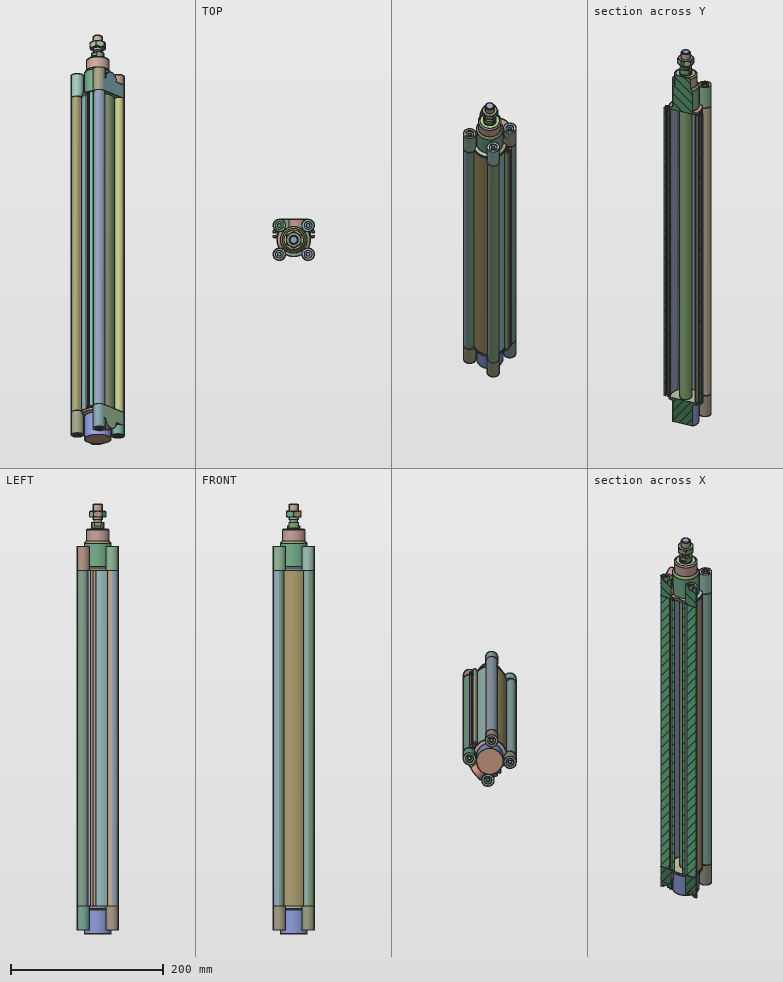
import cadquery as cq
import math


total_height = 564.0
rear_face_z = 5.0
tube_bottom_z = 36.5
tube_top_z = 476.5
front_face_z = tube_top_z + (tube_bottom_z - rear_face_z)

half_width = 54.0 / 2
column_offset = 38.0 / 2
column_radius = half_width - column_offset
column_centers = [(sx * column_offset, sy * column_offset) for sx in (-1, 1) for sy in (-1, 1)]

barrel_diameter = 43.5
bore_diameter = 40.0
column_inner_face = 13.0
column_side_radius = column_offset - column_inner_face

rail_center_y = 7.6
rail_width = 10.0
rail_rounding = 1.5
rail_foot_x = 21.0
slot_opening = 3.5
slot_channel = 5.5
slot_floor_x = 22.0
slot_lip = 3.0

collar_diameter = 35.0
flange_diameter = 44.0
flange_height = 3.5
ledge_height = 1.5
web_thickness = 2.0
screw_recess_diameter = 10.0
screw_recess_depth = 1.5
screw_socket_diameter = 5.0
screw_socket_depth = 5.5
port_radius = 10.5
port_center_x = 4.25
port_above_tube = 18.5
port_inner_y = column_offset - column_radius

nose_diameter = 30.0
nose_top_z = 531.5
nose_cone_bottom_z = 512.0
nose_cone_top_z = 515.5
nose_chamfer_height = 1.5
nose_chamfer_width = 2.0
wiper_diameter = 17.0
wiper_top_z = nose_top_z + 1.0

rod_diameter = 16.0
rod_flats = 13.0
flats_bottom_z = 534.5
shank_top_z = 540.0
neck_diameter = 10.0
thread_bottom_z = 543.0
thread_diameter = 12.0
thread_chamfer = 1.0

nut_flats = 19.0
nut_bottom_z = 546.5
nut_top_z = nut_bottom_z + 8.0
nut_corner_diameter = nut_flats / math.cos(math.pi / 6)


def cylinder(diameter, bottom, top, center=(0, 0)):
    return cq.Workplane("XY", origin=(*center, bottom)).circle(diameter / 2).extrude(top - bottom)


def box(x_range, y_range, z_range):
    sizes = [high - low for low, high in (x_range, y_range, z_range)]
    low_corner = (x_range[0], y_range[0], z_range[0])
    return cq.Workplane("XY").box(*sizes, centered=False).translate(low_corner)


def turned(solid, angle):
    return solid.rotate((0, 0, 0), (0, 0, 1), angle)



def tube_column():
    """Column in the +X +Y corner: one large outer arc between two smaller side arcs."""
    inner, middle, outer = column_inner_face, column_offset, half_width
    side_arc_center = outer - column_side_radius
    return (
        cq.Workplane("XY", origin=(0, 0, tube_bottom_z))
        .moveTo(inner, inner)
        .lineTo(side_arc_center, inner)
        .radiusArc((outer, middle), -column_side_radius)
        .radiusArc((middle, outer), -column_radius)
        .radiusArc((inner, side_arc_center), -column_side_radius)
        .close()
        .extrude(tube_top_z - tube_bottom_z)
    )


def sensor_rail():
    """Rail with rounded outer edges and a T-slot open toward +X."""
    tube_z = (tube_bottom_z, tube_top_z)

    def y_span(size):
        return (rail_center_y - size / 2, rail_center_y + size / 2)

    rail = box((rail_foot_x, half_width), y_span(rail_width), tube_z)
    rail = rail.edges("|Z and >X").fillet(rail_rounding)
    opening = box((slot_floor_x, half_width), y_span(slot_opening), tube_z)
    channel = box((slot_floor_x, half_width - slot_lip), y_span(slot_channel), tube_z)
    return rail.cut(opening).cut(channel)


def make_tube():
    tube = cylinder(barrel_diameter, tube_bottom_z, tube_top_z)
    for quarter in range(4):
        tube = tube.union(turned(tube_column(), 90 * quarter))
    rail = sensor_rail()
    tube = tube.union(rail).union(rail.mirror("YZ"))
    return tube.cut(cylinder(bore_diameter, tube_bottom_z, tube_top_z))



def cap_core():
    """Central collar cylinder on a flange with a conical ledge."""
    flange = cylinder(flange_diameter, tube_top_z, tube_top_z + flange_height + ledge_height)
    ledge_width = (flange_diameter - collar_diameter) / 2
    flange = flange.faces(">Z").chamfer(ledge_height, ledge_width)
    return flange.union(cylinder(collar_diameter, tube_top_z, front_face_z))


def add_columns(body):
    """Four screw columns, each tied to the core by a thin diagonal web."""
    web_reach = math.hypot(column_offset, column_offset)
    web = box((0, web_reach), (-web_thickness / 2, web_thickness / 2), (tube_top_z, front_face_z))
    for quarter in range(4):
        body = body.union(turned(web, 45 + 90 * quarter))
    for center in column_centers:
        body = body.union(cylinder(2 * column_radius, tube_top_z, front_face_z, center))
    return body


def add_port_block(body):
    """Air port block between the two +Y columns, topped by a half-round boss."""
    port_z = tube_top_z + port_above_tube
    block = box((-column_offset, column_offset), (port_inner_y, half_width), (tube_top_z, port_z))
    boss = (
        cq.Workplane("XZ", origin=(port_center_x, port_inner_y, port_z))
        .circle(port_radius)
        .extrude(port_inner_y - half_width)
    )
    return body.union(block).union(boss)


def cut_screw_recesses(body):
    recess_floor_z = front_face_z - screw_recess_depth
    socket_floor_z = recess_floor_z - screw_socket_depth
    for center in column_centers:
        body = body.cut(cylinder(screw_recess_diameter, recess_floor_z, front_face_z, center))
        body = body.cut(cylinder(screw_socket_diameter, socket_floor_z, recess_floor_z, center))
    return body


def cap_body():
    """Shape common to both caps, placed on the tube top."""
    return cut_screw_recesses(add_columns(add_port_block(cap_core())))


def make_front_cap():
    cone_height = nose_cone_top_z - nose_cone_bottom_z
    cone_width = (collar_diameter - nose_diameter) / 2
    collar = cylinder(collar_diameter, tube_top_z, nose_cone_top_z)
    collar = collar.faces(">Z").chamfer(cone_height, cone_width)
    nose = cylinder(nose_diameter, tube_top_z, nose_top_z)
    nose = nose.faces(">Z").chamfer(nose_chamfer_height, nose_chamfer_width)
    wiper = cylinder(wiper_diameter, tube_top_z, wiper_top_z)
    cap = cap_body().union(collar).union(nose).union(wiper)
    return cap.cut(cylinder(rod_diameter, tube_top_z, wiper_top_z))


def make_rear_cap():
    """The common cap shape mirrored to the tube bottom, with a plain collar below it."""
    tube_middle_z = (tube_bottom_z + tube_top_z) / 2
    body = cap_body().mirror("XY", (0, 0, tube_middle_z))
    return body.union(cylinder(collar_diameter, 0, tube_bottom_z))



def make_rod():
    shank = cylinder(rod_diameter, tube_bottom_z, flats_bottom_z)
    wrench_section = cylinder(rod_diameter, flats_bottom_z, shank_top_z).intersect(
        box((-rod_flats / 2, rod_flats / 2), (-rod_diameter, rod_diameter), (flats_bottom_z, shank_top_z))
    )
    neck = cylinder(neck_diameter, shank_top_z, thread_bottom_z)
    thread = cylinder(thread_diameter, thread_bottom_z, total_height)
    thread = thread.faces(">Z").chamfer(thread_chamfer)
    return shank.union(wrench_section).union(neck).union(thread)


def make_nut():
    """Hexagon with two flats facing X and chamfered corners, bored for the thread."""
    hexagon = (
        cq.Workplane("XY", origin=(0, 0, nut_bottom_z))
        .polygon(6, nut_corner_diameter)
        .extrude(nut_top_z - nut_bottom_z)
    )
    corner_chamfer = (nut_corner_diameter - nut_flats) / 2
    envelope = cylinder(nut_corner_diameter, nut_bottom_z, nut_top_z)
    envelope = envelope.faces("<Z or >Z").chamfer(corner_chamfer)
    bore = cylinder(thread_diameter, nut_bottom_z, nut_top_z)
    return turned(hexagon, 30).intersect(envelope).cut(bore)


tube = make_tube()
front_cap = make_front_cap()
rear_cap = make_rear_cap()
rod = make_rod()
nut = make_nut()

result = cq.Compound.makeCompound([tube.val(), front_cap.val(), rear_cap.val(), rod.val(), nut.val()])